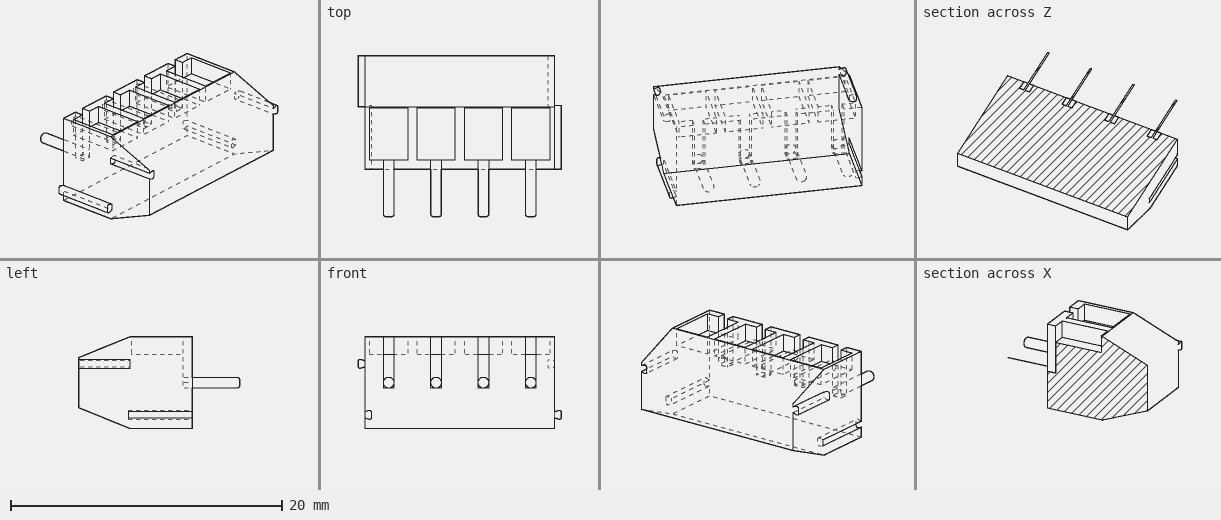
import cadquery as cq


overall_width = 15.0
height = 6.8
overall_depth = 11.9

pole_count = 4
pole_pitch = 3.5
body_width = pole_count * pole_pitch
pin_length = 3.5
body_depth = overall_depth - pin_length
slope_depth = 3.8
slope_drop = 1.55
rear_edge_radius = 0.06

pin_diameter = 0.8
pin_tip_radius = 0.2

pocket_width = 2.82
pocket_depth = 1.32
front_wall = 0.7
rear_lip = 0.09
pocket_front = front_wall
pocket_rear = body_depth - slope_depth - rear_lip

rail_reach = (overall_width - body_width) / 2
groove_reach = 0.48
rail_neck_height = 0.46
rail_tip_height = 0.78
rail_tip_radius = 0.15
upper_rail_z = height / 2 - 2.01
lower_rail_z = -height / 2 + 1.02
upper_rail_length = slope_depth
lower_rail_length = 4.72

top_z = height / 2
side_x = body_width / 2
pole_positions = [(i - (pole_count - 1) / 2) * pole_pitch for i in range(pole_count)]


def make_body():
    """Block with a rear part that tapers equally from the top and the bottom to a rounded-edged face."""
    slope_start = body_depth - slope_depth
    rear_z = top_z - slope_drop
    outline = [
        (0, -top_z),
        (slope_start, -top_z),
        (body_depth, -rear_z),
        (body_depth, rear_z),
        (slope_start, top_z),
        (0, top_z),
    ]
    block = cq.Workplane("YZ").polyline(outline).close().extrude(side_x, both=True)
    return block.faces(">Y").edges("|X").fillet(rear_edge_radius)


def make_pocket(x):
    """Rectangular pocket sunk into the top face."""
    return cq.Workplane("XY").box(
        pocket_width, pocket_rear - pocket_front, pocket_depth, centered=(True, False, False)
    ).translate((x, pocket_front, top_z - pocket_depth))


def make_slot(x):
    """Slot through the front wall, from the top face down to the underside of the pin."""
    slot_height = top_z + pin_diameter / 2
    return cq.Workplane("XY").box(
        pin_diameter, front_wall, slot_height, centered=(True, False, False)
    ).translate((x, 0, top_z - slot_height))


def make_pin(x):
    """Round pin with a rounded tip, rooted in the back of its slot."""
    return (
        cq.Workplane("XZ", origin=(x, front_wall, 0))
        .circle(pin_diameter / 2)
        .extrude(front_wall + pin_length)
        .faces("<Y")
        .edges()
        .fillet(pin_tip_radius)
    )


def make_rail(root_x, reach, z, front_y, length):
    """Dovetail bar along Y that starts at root_x and widens over its signed reach in X."""
    neck = rail_neck_height / 2
    tip = rail_tip_height / 2
    tip_x = root_x + reach
    outline = [(root_x, z - neck), (tip_x, z - tip), (tip_x, z + tip), (root_x, z + neck)]
    tip_side = ">X" if reach > 0 else "<X"
    return (
        cq.Workplane("XZ", origin=(0, front_y, 0))
        .polyline(outline)
        .close()
        .extrude(-length)
        .faces(tip_side)
        .edges("|Y")
        .fillet(rail_tip_radius)
    )


result = make_body()

for pole_x in pole_positions:
    result = result.cut(make_pocket(pole_x)).cut(make_slot(pole_x)).union(make_pin(pole_x))

upper_front_y = body_depth - upper_rail_length
result = result.union(make_rail(-side_x, -rail_reach, upper_rail_z, upper_front_y, upper_rail_length))
result = result.cut(make_rail(side_x, -groove_reach, upper_rail_z, upper_front_y, upper_rail_length))

result = result.union(make_rail(side_x, rail_reach, lower_rail_z, 0, lower_rail_length))
result = result.cut(make_rail(-side_x, groove_reach, lower_rail_z, 0, lower_rail_length))